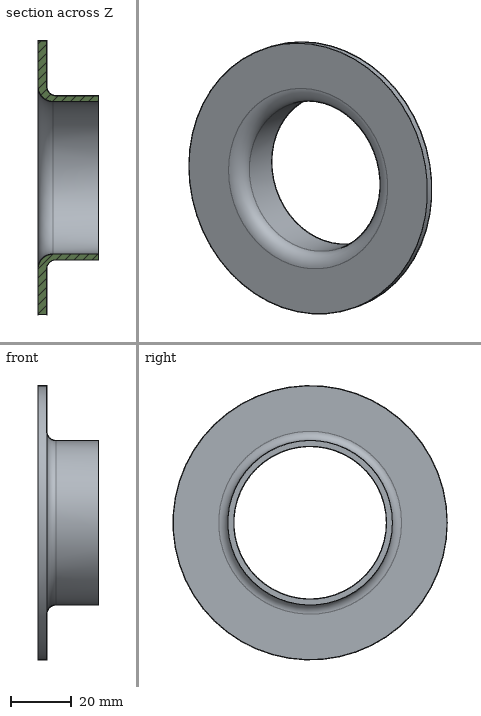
import cadquery as cq
import math

flange_diameter = 90.0
tube_outer_diameter = 54.0
bore_diameter = 50.0
total_length = 20.0
flange_thickness = 3.0
mouth_radius = 5.0
neck_radius = 3.0

flange_radius = flange_diameter / 2
tube_radius = tube_outer_diameter / 2
bore_radius = bore_diameter / 2

mouth_center = (mouth_radius, bore_radius + mouth_radius)
neck_center = (flange_thickness + neck_radius, tube_radius + neck_radius)


def arc_middle(center, radius):
    """Midpoint of a quarter arc on the side of its centre facing the axis and the flange face."""
    offset = radius * math.sqrt(0.5)
    return (center[0] - offset, center[1] - offset)


def make_collar():
    """Flanged tube: half section, X along the axis and Y outward, revolved about the X axis."""
    section = (
        cq.Workplane("XY")
        .moveTo(0, mouth_center[1])
        .lineTo(0, flange_radius)
        .lineTo(flange_thickness, flange_radius)
        .lineTo(flange_thickness, neck_center[1])
        .threePointArc(arc_middle(neck_center, neck_radius), (neck_center[0], tube_radius))
        .lineTo(total_length, tube_radius)
        .lineTo(total_length, bore_radius)
        .lineTo(mouth_center[0], bore_radius)
        .threePointArc(arc_middle(mouth_center, mouth_radius), (0, mouth_center[1]))
        .close()
    )
    return section.revolve(360, (0, 0, 0), (1, 0, 0))


result = make_collar()